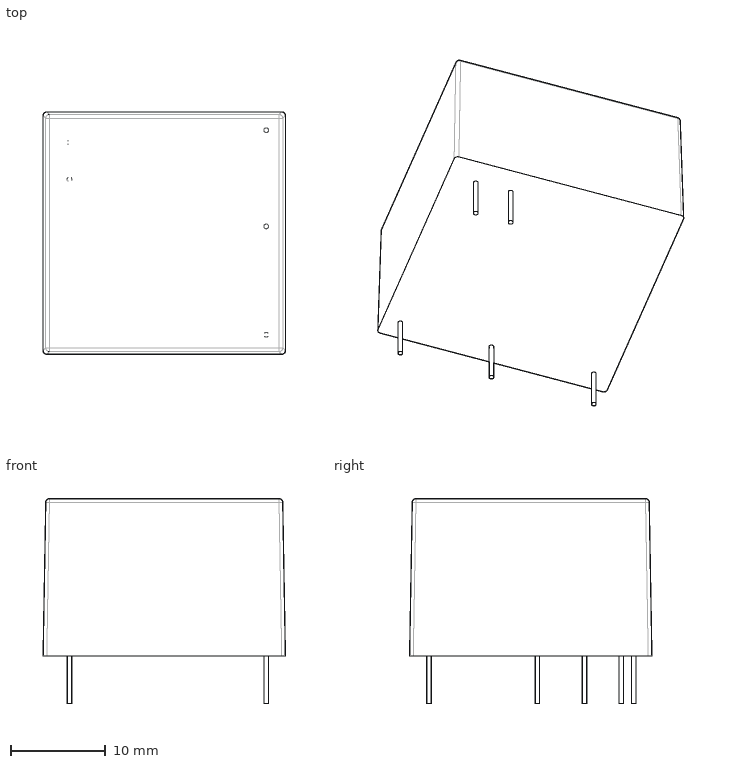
import cadquery as cq

CASE_SIDE = 25.6
OVERALL_HEIGHT = 21.63
PIN_LENGTH = 5.0
CASE_HEIGHT = OVERALL_HEIGHT - PIN_LENGTH
WALL_DRAFT = 1.0
EDGE_RADIUS = 0.4

PIN_DIAMETER = 0.5
PLUS_ROW_X = 10.76
MINUS_ROW_X = -10.0
PLUS_X_PIN_Y = (10.86, 0.7, -10.73)
MINUS_X_PIN_Y = (9.56, 5.67)


def make_case():
    """Tapered block with rounded wall corners and a rounded top rim."""
    block = cq.Workplane("XY").rect(CASE_SIDE, CASE_SIDE).extrude(CASE_HEIGHT, taper=WALL_DRAFT)
    wall_corners_and_rim = block.edges("not <Z")
    return wall_corners_and_rim.fillet(EDGE_RADIUS)


def make_pin_row(row_x, pin_y_positions):
    """Pins hanging from the case base along one line of constant X."""
    centres = [(row_x, pin_y) for pin_y in pin_y_positions]
    return cq.Workplane("XY").pushPoints(centres).circle(PIN_DIAMETER / 2).extrude(-PIN_LENGTH)


case = make_case()
plus_x_pins = make_pin_row(PLUS_ROW_X, PLUS_X_PIN_Y)
minus_x_pins = make_pin_row(MINUS_ROW_X, MINUS_X_PIN_Y)

result = case.union(plus_x_pins).union(minus_x_pins)